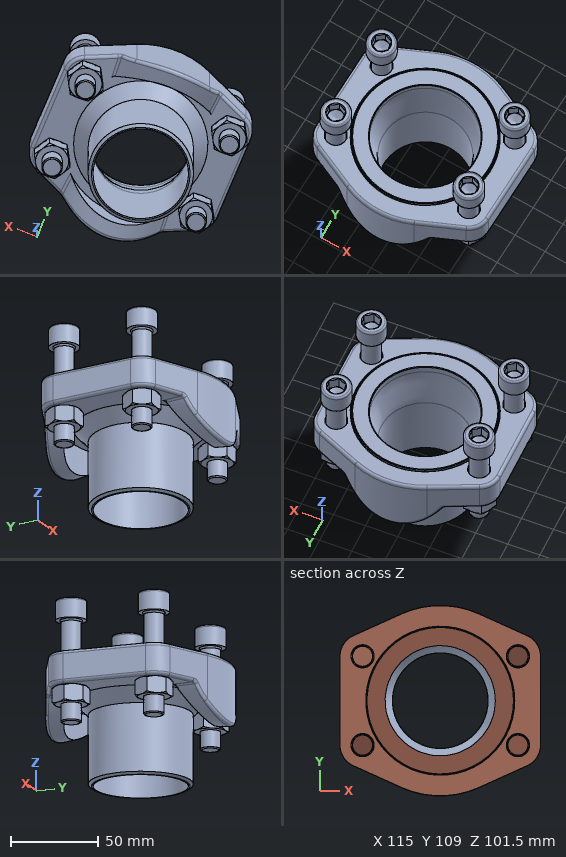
import cadquery as cq
import math


flange_length = 115.0
bolt_spacing_x = 88.9
bolt_spacing_y = 50.8
bolt_x = bolt_spacing_x / 2
bolt_y = bolt_spacing_y / 2
bolt_places = [(sx * bolt_x, sy * bolt_y) for sx in (-1, 1) for sy in (-1, 1)]

flange_thickness = 19.1
flange_round_radius = 54.5
corner_radius = flange_length / 2 - bolt_x
flange_edge_radius = 2.0
lobe_depth = 38.0
lobe_radius = 35.1
lobe_slope = 7.0
lobe_overrun = 5.8
lobe_core_length = 34.5
lobe_root_radius = 2.0
lobe_inner_radius = 44.0
level_tolerance = 0.1
bolt_hole_diameter = 13.0
seat_clearance_diameter = 85.0
seat_edge_chamfer = 0.5

head_diameter = 84.1
pipe_diameter = 60.3
pipe_bore_diameter = 54.5
mouth_diameter = 64.0
nipple_top = 0.8
nipple_bottom = -69.2
cone_bottom = -27.4
mouth_depth = 4.6
throat_depth = 27.6
head_edge_chamfer = 0.5
pipe_end_chamfer_width = 2.0
pipe_end_chamfer_height = 1.3
cone_top = cone_bottom + (head_diameter - pipe_diameter) / 2

screw_top = 32.3
screw_head_diameter = 18.0
screw_head_height = 12.0
screw_head_round = 1.2
shank_diameter = 11.7
shank_length = 60.1
neck_diameter = 13.0
neck_height = 1.2
tip_diameter = 10.4
socket_flats = 10.0
socket_depth = 7.5
socket_angle = 39.0
socket_tip_angle = 118.0
socket_corners = socket_flats / math.cos(math.radians(30))

nut_flats = 19.0
nut_height = 10.0
nut_chamfer_angle = 30.0
nut_corners = nut_flats / math.cos(math.radians(30))


def flange_outline():
    """Closed outline of four corner arcs and two large end arcs joined by tangent lines."""
    bolt_distance = math.hypot(bolt_x, bolt_y)
    tangent = math.atan2(bolt_y, bolt_x) + math.acos((flange_round_radius - corner_radius) / bolt_distance)
    middle = tangent / 2
    end_x = flange_round_radius * math.cos(tangent)
    end_y = flange_round_radius * math.sin(tangent)

    def corner(sx, sy, angle):
        return (sx * (bolt_x + corner_radius * math.cos(angle)), sy * (bolt_y + corner_radius * math.sin(angle)))

    return (
        cq.Workplane("XY")
        .moveTo(*corner(1, -1, 0))
        .lineTo(*corner(1, 1, 0))
        .threePointArc(corner(1, 1, middle), corner(1, 1, tangent))
        .lineTo(end_x, end_y)
        .threePointArc((0, flange_round_radius), (-end_x, end_y))
        .lineTo(*corner(-1, 1, tangent))
        .threePointArc(corner(-1, 1, middle), corner(-1, 1, 0))
        .lineTo(*corner(-1, -1, 0))
        .threePointArc(corner(-1, -1, middle), corner(-1, -1, tangent))
        .lineTo(-end_x, -end_y)
        .threePointArc((0, -flange_round_radius), (end_x, -end_y))
        .lineTo(*corner(1, -1, tangent))
        .threePointArc(corner(1, -1, middle), corner(1, -1, 0))
        .close()
    )


def lobe_core(side):
    """Round bar along Y whose lower half forms the lobe on one side; it rises toward the middle."""
    slope = math.radians(lobe_slope)
    start_z = lobe_radius - lobe_depth - lobe_overrun * math.tan(slope)
    start = (0, side * (flange_round_radius + lobe_overrun), start_z)
    inward = (0, -side * math.cos(slope), math.sin(slope))
    return cq.Workplane(cq.Solid.makeCylinder(lobe_radius, lobe_core_length, start, inward))


def flange_blank():
    """Outline prism whose underside is flat at both ends of X and has a lobe at both ends of Y."""
    slab = (
        cq.Workplane("XY")
        .box(2 * flange_length, 2 * flange_length, flange_thickness, centered=(True, True, False))
        .translate((0, 0, -flange_thickness))
    )
    underside = slab.union(lobe_core(1)).union(lobe_core(-1))
    blank = underside.intersect(flange_outline().extrude(-2 * lobe_depth))
    underside_level = cq.selectors.BoxSelector(
        (-flange_length, -flange_length, -flange_thickness - level_tolerance),
        (flange_length, flange_length, -flange_thickness + level_tolerance),
    )
    lobe_roots = underside_level & cq.selectors.TypeSelector("ELLIPSE")
    blank = blank.edges(lobe_roots).fillet(lobe_root_radius)
    blank = blank.faces(">Z").edges().fillet(flange_edge_radius)
    lowest_rim = cq.selectors.NearestToPointSelector((0, -flange_round_radius, -lobe_depth))
    return blank.edges(lowest_rim).fillet(flange_edge_radius)


def make_flange():
    """Flange with a conical nipple seat, a round clearance between the lobes, and four bolt holes."""
    seat_radius = seat_clearance_diameter / 2
    seat_exit_radius = pipe_diameter / 2 - flange_thickness - cone_bottom
    nipple_hole = (
        cq.Workplane("XZ")
        .moveTo(0, 0)
        .lineTo(seat_radius + seat_edge_chamfer, 0)
        .lineTo(seat_radius, -seat_edge_chamfer)
        .lineTo(seat_radius, cone_top)
        .lineTo(head_diameter / 2, cone_top)
        .lineTo(seat_exit_radius, -flange_thickness)
        .lineTo(lobe_inner_radius, -flange_thickness)
        .lineTo(lobe_inner_radius, -lobe_depth)
        .lineTo(0, -lobe_depth)
        .close()
        .revolve(360, (0, 0, 0), (0, 1, 0))
    )
    bolt_holes = cq.Workplane("XY").pushPoints(bolt_places).circle(bolt_hole_diameter / 2).extrude(-flange_thickness)
    return flange_blank().cut(nipple_hole).cut(bolt_holes)


def make_nipple():
    """Revolved nipple: cylindrical head, 45 degree cone, pipe, and a smoothly narrowing bore."""
    head_radius = head_diameter / 2
    pipe_radius = pipe_diameter / 2
    bore_radius = pipe_bore_diameter / 2
    mouth_radius = mouth_diameter / 2
    return (
        cq.Workplane("XZ")
        .moveTo(mouth_radius + head_edge_chamfer, nipple_top)
        .lineTo(head_radius - head_edge_chamfer, nipple_top)
        .lineTo(head_radius, nipple_top - head_edge_chamfer)
        .lineTo(head_radius, cone_top)
        .lineTo(pipe_radius, cone_bottom)
        .lineTo(pipe_radius, nipple_bottom + pipe_end_chamfer_height)
        .lineTo(pipe_radius - pipe_end_chamfer_width, nipple_bottom)
        .lineTo(bore_radius, nipple_bottom)
        .lineTo(bore_radius, nipple_top - throat_depth)
        .spline([(mouth_radius, nipple_top - mouth_depth)], tangents=[(0, 1), (0, 1)], includeCurrent=True)
        .lineTo(mouth_radius, nipple_top - head_edge_chamfer)
        .close()
        .revolve(360, (0, 0, 0), (0, 1, 0))
    )


def socket_tool():
    """Hexagonal socket with a countersunk rim and a drill-point bottom."""
    inner_radius = socket_flats / 2
    corner_reach = socket_corners / 2
    drill_point = inner_radius / math.tan(math.radians(socket_tip_angle / 2))
    rim_depth = corner_reach - inner_radius
    hexagon = (
        cq.Workplane("XY", origin=(0, 0, screw_top))
        .polygon(6, socket_corners)
        .extrude(-socket_depth)
        .rotate((0, 0, 0), (0, 0, 1), socket_angle)
    )
    drill = (
        cq.Workplane("XZ")
        .moveTo(0, screw_top)
        .lineTo(corner_reach, screw_top)
        .lineTo(inner_radius, screw_top - rim_depth)
        .lineTo(inner_radius, screw_top - socket_depth)
        .lineTo(0, screw_top - socket_depth - drill_point)
        .close()
        .revolve(360, (0, 0, 0), (0, 1, 0))
    )
    return hexagon.union(drill)


def make_screw(x, y):
    """Socket-head screw with a rounded head, a flared neck, and a chamfered tip."""
    shank_radius = shank_diameter / 2
    tip_radius = tip_diameter / 2
    head_bottom = screw_top - screw_head_height
    tip = head_bottom - shank_length
    body = (
        cq.Workplane("XZ")
        .moveTo(0, screw_top)
        .lineTo(screw_head_diameter / 2, screw_top)
        .lineTo(screw_head_diameter / 2, head_bottom)
        .lineTo(neck_diameter / 2, head_bottom)
        .lineTo(shank_radius, head_bottom - neck_height)
        .lineTo(shank_radius, tip + shank_radius - tip_radius)
        .lineTo(tip_radius, tip)
        .lineTo(0, tip)
        .close()
        .revolve(360, (0, 0, 0), (0, 1, 0))
        .faces(">Z").edges().fillet(screw_head_round)
    )
    return body.cut(socket_tool()).translate((x, y, 0))


def make_nut(x, y):
    """Hex nut under the flange, corners pointing along X, chamfered at both ends."""
    nut_top = -flange_thickness
    nut_bottom = nut_top - nut_height
    flat_radius = nut_flats / 2
    corner_reach = nut_corners / 2
    chamfer_height = (corner_reach - flat_radius) * math.tan(math.radians(nut_chamfer_angle))
    hexagon = (
        cq.Workplane("XY", origin=(0, 0, nut_bottom))
        .polygon(6, nut_corners)
        .circle(shank_diameter / 2)
        .extrude(nut_height)
    )
    chamfered_envelope = (
        cq.Workplane("XZ")
        .moveTo(0, nut_top)
        .lineTo(flat_radius, nut_top)
        .lineTo(corner_reach, nut_top - chamfer_height)
        .lineTo(corner_reach, nut_bottom + chamfer_height)
        .lineTo(flat_radius, nut_bottom)
        .lineTo(0, nut_bottom)
        .close()
        .revolve(360, (0, 0, 0), (0, 1, 0))
    )
    return hexagon.intersect(chamfered_envelope).translate((x, y, 0))


flange = make_flange()
nipple = make_nipple()
screws = [make_screw(x, y) for x, y in bolt_places]
nuts = [make_nut(x, y) for x, y in bolt_places]

result = cq.Compound.makeCompound(
    [flange.val(), nipple.val()] + [screw.val() for screw in screws] + [nut.val() for nut in nuts]
)